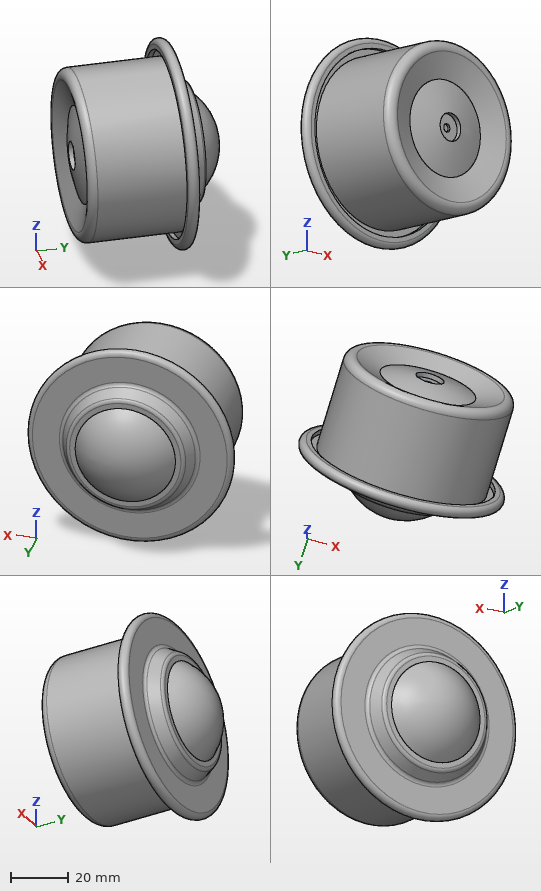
import cadquery as cq
import math


cup_radius = 31.05
cup_rim_round = 3.1
rim_slope = math.radians(19.5)
dome_edge_radius = 17.5
dome_radius = 54.75

recess_radius = 5.1
recess_depth = 1.8
hole_radius = 1.5
hole_depth = 0.9

flange_radius = 37.5
flange_underside = 34.5
flange_thickness = 4.1
lip_round = flange_thickness / 2
lip_inner_radius = 33.6
lip_gap_depth = 1.8

cap_foot_radius = 24.6
cap_top = 44.5
cap_wall_angle = math.radians(60)
cap_round = 1.7
ball_top = 53.5
ball_mouth_radius = 18.2

round_centre_radius = cup_radius - cup_rim_round
rim_inner_radius = round_centre_radius - cup_rim_round * math.sin(rim_slope)
rim_inner_height = cup_rim_round * (1 - math.cos(rim_slope))
dome_edge_height = rim_inner_height + (rim_inner_radius - dome_edge_radius) * math.tan(rim_slope)
dome_centre = dome_edge_height + math.sqrt(dome_radius**2 - dome_edge_radius**2)
dome_mid_radius = (recess_radius + dome_edge_radius) / 2
dome_mid_height = dome_centre - math.sqrt(dome_radius**2 - dome_mid_radius**2)
recess_mouth_height = dome_centre - math.sqrt(dome_radius**2 - recess_radius**2)
recess_floor = recess_mouth_height + recess_depth
flange_top = flange_underside + flange_thickness
lip_centre_radius = flange_radius - lip_round
cap_shoulder_radius = cap_foot_radius - (cap_top - flange_top) / math.tan(cap_wall_angle)
round_setback = cap_round * math.tan(cap_wall_angle / 2)
setback_across = round_setback * math.cos(cap_wall_angle)
setback_along = round_setback * math.sin(cap_wall_angle)
ball_cap_height = ball_top - cap_top
ball_radius = (ball_mouth_radius**2 + ball_cap_height**2) / (2 * ball_cap_height)
ball_centre = ball_top - ball_radius
mouth_angle = math.atan2(cap_top - ball_centre, ball_mouth_radius)
ball_mid_angle = (mouth_angle + math.pi / 2) / 2

profile = (
    cq.Workplane("XY")
    .moveTo(0, recess_floor + hole_depth)
    .lineTo(hole_radius, recess_floor + hole_depth)
    .lineTo(hole_radius, recess_floor)
    .lineTo(recess_radius, recess_floor)
    .lineTo(recess_radius, recess_mouth_height)
    .threePointArc((dome_mid_radius, dome_mid_height), (dome_edge_radius, dome_edge_height))
    .lineTo(rim_inner_radius, rim_inner_height)
    .threePointArc(
        (
            round_centre_radius + cup_rim_round * math.sin(math.pi / 4),
            cup_rim_round * (1 - math.cos(math.pi / 4)),
        ),
        (cup_radius, cup_rim_round),
    )
    .lineTo(cup_radius, flange_underside + lip_gap_depth)
    .lineTo(lip_inner_radius, flange_underside + lip_gap_depth)
    .lineTo(lip_inner_radius, flange_underside)
    .lineTo(lip_centre_radius, flange_underside)
    .threePointArc((flange_radius, flange_underside + lip_round), (lip_centre_radius, flange_top))
    .lineTo(cap_foot_radius + round_setback, flange_top)
    .tangentArcPoint((cap_foot_radius - setback_across, flange_top + setback_along), relative=False)
    .lineTo(cap_shoulder_radius + setback_across, cap_top - setback_along)
    .tangentArcPoint((cap_shoulder_radius - round_setback, cap_top), relative=False)
    .lineTo(ball_mouth_radius, cap_top)
    .threePointArc(
        (
            ball_radius * math.cos(ball_mid_angle),
            ball_centre + ball_radius * math.sin(ball_mid_angle),
        ),
        (0, ball_top),
    )
    .close()
)

result = profile.revolve(360, (0, 0, 0), (0, 1, 0))